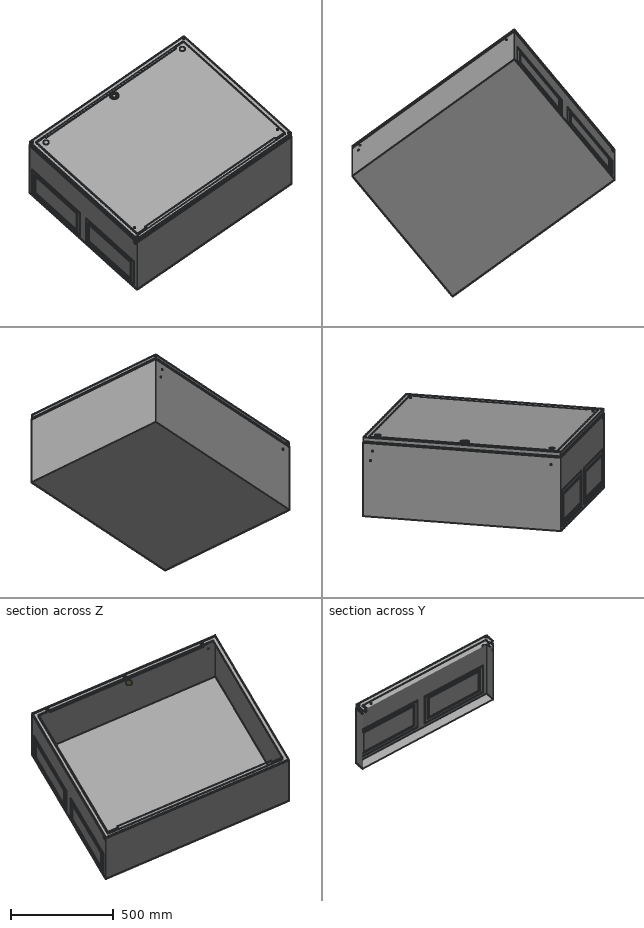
import cadquery as cq

WIDTH = 800.0
TOTAL_LENGTH = 1002.0
TOTAL_HEIGHT = 404.0
SHEET = 1.5
PLATE_THICKNESS = 2.0
LENGTH = TOTAL_LENGTH - PLATE_THICKNESS
BASE = -TOTAL_HEIGHT / 2
HOUSING_HEIGHT = 373.0
HOUSING_TOP = BASE + HOUSING_HEIGHT

DOOR_INSET = 1.5
DOOR_GAP = 7.0
LOCK_RISE = 4.0
DOOR_BOTTOM = HOUSING_TOP + DOOR_GAP
DOOR_TOP = BASE + TOTAL_HEIGHT - LOCK_RISE
DOOR_UNDERSIDE = DOOR_TOP - SHEET
DOOR_WIDTH = WIDTH - 2 * DOOR_INSET
DOOR_LENGTH = LENGTH - 2 * DOOR_INSET

STIFFENER_BOTTOM = DOOR_BOTTOM
FRAME_WIDTH = 749.0
FRAME_LENGTH = 952.0
RAIL_LENGTH = 840.0
RAIL_X = 367.0
FRAME_LEG_START = 418.0

RIM_CLEARANCE = 4.0
RIM_TOP = DOOR_UNDERSIDE - RIM_CLEARANCE
RIM_WIDTH = 762.0
RIM_LENGTH = 956.0
RIM_CORNER_RADIUS = 6.0

PAD_WIDTH = 8.0
PAD_LENGTH = 14.0
PAD_HEIGHT = 4.0
PAD_X = -390.0
PAD_SPACING = 421.0

PLATE_CENTRE_X = 199.0
PLATE_CENTRE_Z = BASE + 111.0
PLATE_WIDTH = 358.0
PLATE_HEIGHT = 183.0
PLATE_OVERLAP = 3.0
OPENING_WIDTH = PLATE_WIDTH - 2 * PLATE_OVERLAP
OPENING_HEIGHT = PLATE_HEIGHT - 2 * PLATE_OVERLAP
GROOVE_WIDTH = 322.0
GROOVE_HEIGHT = 145.0
GROOVE_DEPTH = 1.0
CENTRE_FIELD_WIDTH = 303.0
CENTRE_FIELD_HEIGHT = 130.0

FRONT_HOLE_DIAMETER = 18.0
FRONT_HOLE_X = 385.0
FRONT_HOLE_DROP = 14.0
SIDE_HOLE_DIAMETER = 7.0
SIDE_HOLES = ((-451.0, 39.0), (451.0, 39.0), (461.0, 88.0))

LOCK_X = -343.0
LOCK_DIAMETER = 32.0
LOCK_FLANGE_DIAMETER = 44.0
LOCK_FLANGE_THICKNESS = 1.0
LOCK_SHANK_LENGTH = 16.0
SOCKET_DIAMETER = 25.0
SOCKET_DEPTH = 8.0
CAP_DIAMETER = 27.0
CAP_RISE = 1.0
CAP_Y = 440.0
DOOR_HOLE_DIAMETER = 7.0
DOOR_HOLE_X = 337.0
DOOR_HOLE_Y = 461.0
RELIEF_DIAMETER = 12.0
RELIEF_INSET = 8.0


def block(width, length, bottom, top):
    """Upright block centred on the Z axis."""
    return cq.Workplane("XY").workplane(offset=bottom).rect(width, length).extrude(top - bottom)


def cylinder(x, y, diameter, bottom, top):
    """Upright cylinder."""
    return cq.Workplane("XY").workplane(offset=bottom).center(x, y).circle(diameter / 2).extrude(top - bottom)


def front_block(centre_x, width, height, front_y, depth):
    """Block at gland plate height that runs inwards from front_y."""
    return (
        cq.Workplane("XZ", origin=(centre_x, front_y, PLATE_CENTRE_Z))
        .rect(width, height)
        .extrude(-depth)
    )


def make_housing():
    """Hollow housing with an upright rim around its top opening."""
    shell = block(WIDTH, LENGTH, BASE, HOUSING_TOP)
    rim = block(RIM_WIDTH, RIM_LENGTH, HOUSING_TOP, RIM_TOP).edges("|Z").fillet(RIM_CORNER_RADIUS)
    cavity = block(WIDTH - 2 * SHEET, LENGTH - 2 * SHEET, BASE + SHEET, HOUSING_TOP - SHEET)
    mouth = (
        block(RIM_WIDTH - 2 * SHEET, RIM_LENGTH - 2 * SHEET, HOUSING_TOP - SHEET, RIM_TOP)
        .edges("|Z")
        .fillet(RIM_CORNER_RADIUS - SHEET)
    )
    housing = shell.union(rim).cut(cavity).cut(mouth)

    for y in (-PAD_SPACING, 0, PAD_SPACING):
        pad = block(PAD_WIDTH, PAD_LENGTH, HOUSING_TOP, HOUSING_TOP + PAD_HEIGHT)
        housing = housing.union(pad.translate((PAD_X, y, 0)))

    for side in (-1, 1):
        opening = front_block(side * PLATE_CENTRE_X, OPENING_WIDTH, OPENING_HEIGHT, -LENGTH / 2, SHEET)
        housing = housing.cut(opening)

    front_hole = (
        cq.Workplane("XZ", origin=(FRONT_HOLE_X, -LENGTH / 2, HOUSING_TOP - FRONT_HOLE_DROP))
        .circle(FRONT_HOLE_DIAMETER / 2)
        .extrude(-SHEET)
    )
    housing = housing.cut(front_hole)

    for y, drop in SIDE_HOLES:
        side_hole = (
            cq.Workplane("YZ", origin=(-WIDTH / 2, y, HOUSING_TOP - drop))
            .circle(SIDE_HOLE_DIAMETER / 2)
            .extrude(SHEET)
        )
        housing = housing.cut(side_hole)
    return housing


def make_gland_plate(centre_x):
    """Plate on the outside of the front wall, with a shallow rectangular groove."""
    front_y = -LENGTH / 2 - PLATE_THICKNESS
    plate = front_block(centre_x, PLATE_WIDTH, PLATE_HEIGHT, front_y, PLATE_THICKNESS)
    groove = front_block(centre_x, GROOVE_WIDTH, GROOVE_HEIGHT, front_y, GROOVE_DEPTH)
    centre_field = front_block(centre_x, CENTRE_FIELD_WIDTH, CENTRE_FIELD_HEIGHT, front_y, GROOVE_DEPTH)
    return plate.cut(groove.cut(centre_field))


def make_stiffeners():
    """Sheet frame at each end of the door and a rail along each long side."""
    frame = block(FRAME_WIDTH, FRAME_LENGTH, STIFFENER_BOTTOM, DOOR_UNDERSIDE)
    frame_inside = block(FRAME_WIDTH - 2 * SHEET, FRAME_LENGTH - 2 * SHEET, STIFFENER_BOTTOM, DOOR_UNDERSIDE)
    frame_gap = block(FRAME_WIDTH, 2 * FRAME_LEG_START, STIFFENER_BOTTOM, DOOR_UNDERSIDE)
    rails = block(2 * RAIL_X, RAIL_LENGTH, STIFFENER_BOTTOM, DOOR_UNDERSIDE).cut(
        block(2 * (RAIL_X - SHEET), RAIL_LENGTH, STIFFENER_BOTTOM, DOOR_UNDERSIDE)
    )
    return frame.cut(frame_inside).cut(frame_gap).union(rails)


def make_door():
    """Door pan with stiffeners, cover caps, the lock hole and small holes."""
    pan = block(DOOR_WIDTH, DOOR_LENGTH, DOOR_BOTTOM, DOOR_TOP)
    pan_inside = block(DOOR_WIDTH - 2 * SHEET, DOOR_LENGTH - 2 * SHEET, DOOR_BOTTOM, DOOR_UNDERSIDE)
    door = pan.cut(pan_inside).union(make_stiffeners())

    for side in (-1, 1):
        door = door.union(cylinder(LOCK_X, side * CAP_Y, CAP_DIAMETER, DOOR_TOP, DOOR_TOP + CAP_RISE))
        door = door.cut(cylinder(DOOR_HOLE_X, side * DOOR_HOLE_Y, DOOR_HOLE_DIAMETER, DOOR_UNDERSIDE, DOOR_TOP))

    relief_x = DOOR_WIDTH / 2 - RELIEF_INSET
    relief_y = DOOR_LENGTH / 2 - RELIEF_INSET
    for x in (-relief_x, relief_x):
        for y in (-relief_y, relief_y):
            door = door.cut(cylinder(x, y, RELIEF_DIAMETER, DOOR_UNDERSIDE, DOOR_TOP))

    return door.cut(cylinder(LOCK_X, 0, LOCK_DIAMETER, DOOR_UNDERSIDE, DOOR_TOP))


def make_lock():
    """Lock barrel through the door, with a flange on the door face and a key socket."""
    lock_top = DOOR_TOP + LOCK_RISE
    barrel = cylinder(LOCK_X, 0, LOCK_DIAMETER, DOOR_TOP - LOCK_SHANK_LENGTH, lock_top)
    flange = cylinder(LOCK_X, 0, LOCK_FLANGE_DIAMETER, DOOR_TOP, DOOR_TOP + LOCK_FLANGE_THICKNESS)
    socket = cylinder(LOCK_X, 0, SOCKET_DIAMETER, lock_top - SOCKET_DEPTH, lock_top)
    return barrel.union(flange).cut(socket)


housing = make_housing()
door = make_door()
lock = make_lock()
gland_plates = [make_gland_plate(side * PLATE_CENTRE_X) for side in (-1, 1)]

bodies = [housing, door, lock, *gland_plates]

result = cq.Compound.makeCompound([body.translate((0, PLATE_THICKNESS / 2, 0)).val() for body in bodies])